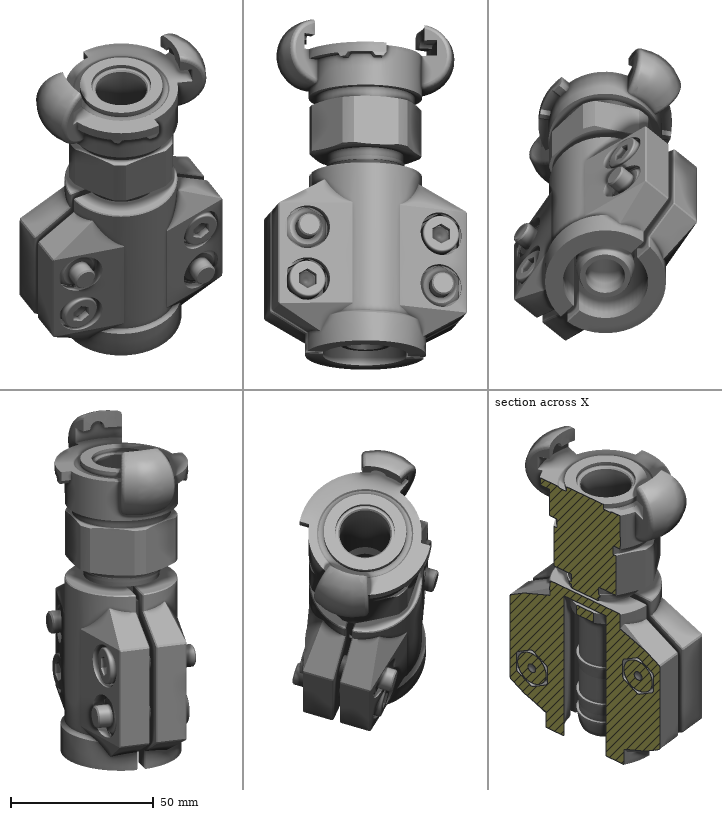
import cadquery as cq
import math

TOTAL_HEIGHT = 119.5

CLAMP_SHIFT_X = -0.18
CLAMP_HEIGHT = 65.0
CLAMP_RADIUS = 19.8
CLAMP_BORE_RADIUS = 30.0 / 2
CLAMP_LIP_BOTTOM = 61.1
CLAMP_TOP_CHAMFER = 0.4
SKIRT_RADIUS = 21.3
SKIRT_HEIGHT = 10.3
SKIRT_CHAMFER_HEIGHT = 1.2
SLOT_WIDTH = 2.4
EDGE_CHAMFER = 0.42

BLOCK_MID_Z = 32.3
BLOCK_HALF_FLAT = 18.2
BLOCK_OUTER_Y = 68.0 / 2
BLOCK_OUTER_X = 12.4
BLOCK_ROOT_X = 18.0
BLOCK_ROOT_Y = 8.6
END_BEVEL_ANGLE = 30.0
SIDE_BEVEL_ANGLE = 60.0
BEVEL_REACH = 35.9

BOLT_Y = 24.0
BOLT_HALF_PITCH = 9.38
BOLT_DIAMETER = 8.0
BOLT_TIP_X = 18.3
BOLT_TIP_CHAMFER = 0.54
SPOTFACE_DIAMETER = 15.4
SPOTFACE_FLOOR_X = 12.4
POCKET_FLOOR_X = 9.0
HEX_FLATS = 13.7
NUT_TOP_X = 12.9
NUT_FACE_DIAMETER = 11.8
HEAD_DIAMETER = 13.0
HEAD_TOP_X = 15.0
HEAD_ROUND = 0.6
SOCKET_FLATS = 6.2
SOCKET_DEPTH = 2.6
SOCKET_TIP_DEPTH = 1.4
CUT_REACH = 23.9

STEM_BOTTOM = 3.7
TAIL_TIP_RADIUS = 8.8
TAIL_RADIUS = 19.0 / 2
BARB_RADIUS = 20.7 / 2
BARB_CRESTS = (10.8, 18.6, 34.7)
BARB_RAMP = 5.3
BARB_LAND = 0.7
STOP_BOTTOM = 55.6
STOP_TOP = 59.9
STOP_RADIUS = 25.0 / 2
COLLAR_BOTTOM = 66.1
COLLAR_RADIUS = 26.8 / 2
BEAD_BOTTOM = 67.8
BEAD_TOP = 69.1
BEAD_RADIUS = 27.5 / 2

HEX_BOTTOM = 72.1
HEX_TOP = 89.5
BIG_HEX_FLATS = 36.3
BIG_HEX_CORNER_RADIUS = 19.8
BIG_HEX_CHAMFER = 0.42
BIG_HEX_FACE_RADIUS = 18.2
NECK_RADIUS = 17.5

HEAD_BOTTOM = 93.1
FACE_Z = 107.8
HEAD_RADIUS = 20.0
SEAL_RADIUS = 29.0 / 2
SEAL_TOP = 109.4
GROOVE_RADIUS = 34.0 / 2
GROOVE_DEPTH = 0.5
MOUTH_RADIUS = 21.0 / 2
MOUTH_DEPTH = 1.4
UPPER_BORE_RADIUS = 18.0 / 2
UPPER_BORE_CHAMFER = 0.5
UPPER_BORE_BOTTOM = 74.1
BORE_CONE_HEIGHT = 1.2
BORE_RADIUS = 14.0 / 2

LUG_RADIUS = 47.0 / 2
LUG_BOTTOM = 104.5
LUG_OVERHANG_Y = 2.5
LUG_ROOT_ANGLE = 109.0
DETENT_DEPTH = 1.4
DETENT_TAPER = 1.1
DETENT_INNER_R = 17.9
END_DETENT_WIDTH = 2 * LUG_OVERHANG_Y
MID_DETENT_ANGLE = 148.0
MID_DETENT_WIDTH = 3.8

CLAW_HALF_ANGLE = 20.0
CLAW_CENTRE_R = 19.66
CLAW_RADIUS = 12.0
CLAW_TIP_R = 20.9
CLAW_ROOT_R = 18.5
CLAW_BACK_AXIS_Y = 13.7
CLAW_CENTRE_Z = TOTAL_HEIGHT - math.sqrt(CLAW_RADIUS**2 - (CLAW_TIP_R - CLAW_CENTRE_R) ** 2)
CLAW_UNDERCUT_R = 25.3
CLAW_UNDERCUT_TOP = 113.4
CLAW_ROUND = 1.5
CLAW_NOTCH_X = -1.7
CLAW_NOTCH_RADIUS = 2.7


def cylinder(radius, bottom, top):
    return cq.Workplane("XY").workplane(offset=bottom).circle(radius).extrude(top - bottom)


def revolve_profile(points):
    """Revolve an (r, z) outline about the Z axis."""
    return cq.Workplane("XZ").polyline(points).close().revolve(360, (0, 0, 0), (0, 1, 0))


def hexagon(flats):
    """Hexagon corner points with a corner on the second axis."""
    radius = flats / math.sqrt(3)
    angles = [math.radians(30 + 60 * i) for i in range(6)]
    return [(radius * math.cos(a), radius * math.sin(a)) for a in angles]


def bolting_block():
    """Block on the +Y side, tapering outward, with bevelled ends."""
    outline = [
        (-BLOCK_ROOT_X, BLOCK_ROOT_Y),
        (-BLOCK_OUTER_X, BLOCK_OUTER_Y),
        (BLOCK_OUTER_X, BLOCK_OUTER_Y),
        (BLOCK_ROOT_X, BLOCK_ROOT_Y),
    ]
    block = cq.Workplane("XY").polyline(outline).close().extrude(BLOCK_MID_Z, both=True)

    def roof(angle, width):
        """Prism profile: straight to the flat height, then sloping inward."""
        rise = width * math.tan(math.radians(angle))
        return [
            (0, BLOCK_HALF_FLAT),
            (-width, BLOCK_HALF_FLAT + rise),
            (-width, -BLOCK_HALF_FLAT - rise),
            (0, -BLOCK_HALF_FLAT),
        ]

    end_plane = cq.Plane((0, BLOCK_OUTER_Y, 0), xDir=(0, 1, 0), normal=(1, 0, 0))
    end_roof = cq.Workplane(end_plane).polyline(roof(END_BEVEL_ANGLE, BEVEL_REACH)).close()
    block = block.intersect(end_roof.extrude(BEVEL_REACH, both=True))

    run_x = BLOCK_ROOT_X - BLOCK_OUTER_X
    run_y = BLOCK_OUTER_Y - BLOCK_ROOT_Y
    for side in (1, -1):
        side_plane = cq.Plane(
            (side * BLOCK_OUTER_X, BLOCK_OUTER_Y, 0),
            xDir=(side * run_y, run_x, 0),
            normal=(-run_x, side * run_y, 0),
        )
        side_roof = cq.Workplane(side_plane).polyline(roof(SIDE_BEVEL_ANGLE, BEVEL_REACH)).close()
        block = block.intersect(side_roof.extrude(2 * BEVEL_REACH, both=True))

    return block.translate((0, 0, BLOCK_MID_Z))


def clamp_shell():
    """The +X clamp shell."""
    skirt_shoulder = SKIRT_HEIGHT + SKIRT_CHAMFER_HEIGHT
    body = revolve_profile([
        (0, 0),
        (SKIRT_RADIUS, 0),
        (SKIRT_RADIUS, SKIRT_HEIGHT),
        (CLAMP_RADIUS, skirt_shoulder),
        (CLAMP_RADIUS, CLAMP_HEIGHT - CLAMP_TOP_CHAMFER),
        (CLAMP_RADIUS - CLAMP_TOP_CHAMFER, CLAMP_HEIGHT),
        (0, CLAMP_HEIGHT),
    ])
    half_space = cq.Workplane("YZ").workplane(offset=SLOT_WIDTH / 2).rect(239.1, 239.1).extrude(119.5)

    body = body.intersect(half_space).faces("<X").edges().chamfer(EDGE_CHAMFER)
    block = bolting_block().intersect(half_space).faces("<X or >Y").edges().chamfer(EDGE_CHAMFER)
    shell = body.union(block).union(block.mirror("XZ"))
    return shell.cut(cylinder(CLAMP_BORE_RADIUS, 0, CLAMP_LIP_BOTTOM))


def along_x(bottom):
    return cq.Workplane("YZ").workplane(offset=bottom)


def bolt_seat():
    """Spotface and hexagon pocket opening toward +X."""
    spotface = along_x(SPOTFACE_FLOOR_X).circle(SPOTFACE_DIAMETER / 2).extrude(CUT_REACH)
    pocket = along_x(POCKET_FLOOR_X).polyline(hexagon(HEX_FLATS)).close().extrude(CUT_REACH)
    pocket = pocket.intersect(along_x(0).circle(SPOTFACE_DIAMETER / 2).extrude(2 * CUT_REACH))
    return spotface.union(pocket)


def bolt():
    """Socket screw along X with its head at -X and a hexagon nut at +X."""
    shank = along_x(-POCKET_FLOOR_X).circle(BOLT_DIAMETER / 2).extrude(BOLT_TIP_X + POCKET_FLOOR_X)
    shank = shank.faces(">X").chamfer(BOLT_TIP_CHAMFER)

    nut = along_x(POCKET_FLOOR_X).polyline(hexagon(HEX_FLATS)).close().extrude(NUT_TOP_X - POCKET_FLOOR_X)
    cone_run = (SPOTFACE_DIAMETER - NUT_FACE_DIAMETER) / 2
    cone_drop = cone_run * math.tan(math.radians(30))
    limit = along_x(POCKET_FLOOR_X).circle(SPOTFACE_DIAMETER / 2).extrude(NUT_TOP_X - POCKET_FLOOR_X)
    nut = nut.intersect(limit.faces(">X").chamfer(cone_drop, cone_run))

    head = along_x(-HEAD_TOP_X).circle(HEAD_DIAMETER / 2).extrude(HEAD_TOP_X - POCKET_FLOOR_X)
    head = head.faces("<X").edges().fillet(HEAD_ROUND)
    socket = along_x(-HEAD_TOP_X).polyline(hexagon(SOCKET_FLATS)).close().extrude(SOCKET_DEPTH)
    tip_plane = cq.Workplane("YZ", origin=(SOCKET_DEPTH - HEAD_TOP_X, 0, 0))
    tip = cq.Workplane(cq.Solid.makeCone(
        SOCKET_FLATS / 2, 0, SOCKET_TIP_DEPTH, tip_plane.plane.origin, cq.Vector(1, 0, 0)
    ))
    return shank.union(nut).union(head.cut(socket).cut(tip))


def clamp():
    shell = clamp_shell()
    shells = shell.union(shell.mirror("YZ"))
    seat = bolt_seat()
    screw = bolt()
    for y_side in (1, -1):
        for z_side in (1, -1):
            centre = (0, y_side * BOLT_Y, BLOCK_MID_Z + z_side * BOLT_HALF_PITCH)
            nut_at_plus_x = y_side * z_side < 0
            turn = 0 if nut_at_plus_x else 180
            for angle in (0, 180):
                shells = shells.cut(seat.rotate((0, 0, 0), (0, 0, 1), angle).translate(centre))
            shells = shells.union(screw.rotate((0, 0, 0), (0, 0, 1), turn).translate(centre))
    return shells.translate((CLAMP_SHIFT_X, 0, 0))


def stem():
    """Hose tail, collar and neck up to the coupling head."""
    outline = [
        (0, STEM_BOTTOM),
        (TAIL_TIP_RADIUS, STEM_BOTTOM),
    ]
    for crest in BARB_CRESTS:
        outline += [
            (TAIL_RADIUS, crest - BARB_RAMP),
            (BARB_RADIUS, crest - BARB_LAND),
            (BARB_RADIUS, crest),
            (TAIL_RADIUS, crest),
        ]
    outline += [
        (TAIL_RADIUS, STOP_BOTTOM),
        (STOP_RADIUS, STOP_BOTTOM),
        (STOP_RADIUS, STOP_TOP),
        (TAIL_RADIUS, STOP_TOP),
        (TAIL_RADIUS, COLLAR_BOTTOM),
        (COLLAR_RADIUS, COLLAR_BOTTOM),
        (COLLAR_RADIUS, BEAD_BOTTOM),
        (BEAD_RADIUS, BEAD_BOTTOM),
        (BEAD_RADIUS, BEAD_TOP),
        (COLLAR_RADIUS, BEAD_TOP),
        (COLLAR_RADIUS, HEX_TOP),
        (NECK_RADIUS, HEX_TOP),
        (NECK_RADIUS, HEAD_BOTTOM),
        (0, HEAD_BOTTOM),
    ]
    return revolve_profile(outline)


def hex_section():
    prism = cq.Workplane("XY").workplane(offset=HEX_BOTTOM)
    prism = prism.polyline(hexagon(BIG_HEX_FLATS)).close().extrude(HEX_TOP - HEX_BOTTOM)
    limit = cylinder(BIG_HEX_CORNER_RADIUS, HEX_BOTTOM, HEX_TOP)
    run = BIG_HEX_CORNER_RADIUS - BIG_HEX_FACE_RADIUS
    return prism.intersect(limit.faces("<Z or >Z").chamfer(BIG_HEX_CHAMFER, run))


def lug():
    """Bayonet lug on the -X side, swept from just below the X axis up to the +Y claw."""
    start_angle = 180 + math.degrees(math.asin(LUG_OVERHANG_Y / LUG_RADIUS))

    def rim(angle):
        return LUG_RADIUS * math.cos(math.radians(angle)), LUG_RADIUS * math.sin(math.radians(angle))

    root = rim(LUG_ROOT_ANGLE)
    plate = cq.Workplane("XY").workplane(offset=LUG_BOTTOM)
    plate = plate.moveTo(0, -LUG_OVERHANG_Y).lineTo(*rim(start_angle))
    plate = plate.threePointArc(rim((start_angle + LUG_ROOT_ANGLE) / 2), root).lineTo(0, 0).close()
    plate = plate.extrude(FACE_Z - LUG_BOTTOM)

    def detent(width, angle):
        """Tapered tooth under the lug, reaching outward at the given angle."""
        half_top = width / 2
        half_tip = half_top - DETENT_TAPER
        tooth = cq.Workplane("XZ", origin=(0, DETENT_INNER_R, 0)).polyline([
            (-half_top, LUG_BOTTOM + DETENT_DEPTH),
            (half_top, LUG_BOTTOM + DETENT_DEPTH),
            (half_top, LUG_BOTTOM),
            (half_tip, LUG_BOTTOM - DETENT_DEPTH),
            (-half_tip, LUG_BOTTOM - DETENT_DEPTH),
            (-half_top, LUG_BOTTOM),
        ]).close().extrude(DETENT_INNER_R - 2 * LUG_RADIUS)
        tooth = tooth.intersect(cylinder(LUG_RADIUS, LUG_BOTTOM - DETENT_DEPTH, FACE_Z))
        return tooth.rotate((0, 0, 0), (0, 0, 1), angle - 90)

    return plate.union(detent(END_DETENT_WIDTH, 180)).union(detent(MID_DETENT_WIDTH, MID_DETENT_ANGLE))


def claw():
    """Hooked claw on the +Y side, with a round back and radial flanks."""
    rim_r = CLAW_CENTRE_R - CLAW_BACK_AXIS_Y
    bottom_z = CLAW_CENTRE_Z - CLAW_RADIUS
    top_z = CLAW_CENTRE_Z + CLAW_RADIUS
    puck = cq.Workplane("XZ").moveTo(0, bottom_z).lineTo(rim_r, bottom_z)
    puck = puck.threePointArc((rim_r + CLAW_RADIUS, CLAW_CENTRE_Z), (rim_r, top_z)).lineTo(0, top_z).close()
    puck = puck.revolve(360, (0, 0, 0), (0, 1, 0)).translate((0, CLAW_BACK_AXIS_Y, 0))

    reach = CLAW_CENTRE_R + 2 * CLAW_RADIUS
    half_width = reach * math.tan(math.radians(CLAW_HALF_ANGLE))
    wedge = cq.Workplane("XY").workplane(offset=bottom_z - CLAW_RADIUS)
    wedge = wedge.polyline([(0, 0), (half_width, reach), (-half_width, reach)]).close()
    sector = puck.intersect(wedge.extrude(4 * CLAW_RADIUS))
    sector = sector.edges("<X or >X").fillet(CLAW_ROUND)

    sector = sector.cut(cylinder(CLAW_ROOT_R, bottom_z, top_z))
    sector = sector.cut(cylinder(CLAW_TIP_R, FACE_Z, top_z))
    undercut = cylinder(CLAW_UNDERCUT_R, FACE_Z, CLAW_UNDERCUT_TOP)
    notch = cq.Workplane("XZ").center(CLAW_NOTCH_X, CLAW_UNDERCUT_TOP)
    notch = notch.circle(CLAW_NOTCH_RADIUS).extrude(-CLAW_UNDERCUT_R)
    notch = notch.intersect(cylinder(CLAW_UNDERCUT_R, FACE_Z, top_z))
    return sector.cut(undercut).cut(notch)


def coupling_head():
    head = cylinder(HEAD_RADIUS, HEAD_BOTTOM, FACE_Z)
    for angle in (0, 180):
        for feature in (claw(), lug()):
            head = head.union(feature.rotate((0, 0, 0), (0, 0, 1), angle))
    groove = revolve_profile([
        (0, FACE_Z),
        (GROOVE_RADIUS, FACE_Z),
        (GROOVE_RADIUS - GROOVE_DEPTH, FACE_Z - GROOVE_DEPTH),
        (0, FACE_Z - GROOVE_DEPTH),
    ])
    return head.cut(groove).union(cylinder(SEAL_RADIUS, HEAD_BOTTOM, SEAL_TOP))


def through_bore():
    """Stepped passage, open at both ends."""
    mouth_floor = SEAL_TOP - MOUTH_DEPTH
    return revolve_profile([
        (0, STEM_BOTTOM),
        (BORE_RADIUS, STEM_BOTTOM),
        (BORE_RADIUS, UPPER_BORE_BOTTOM - BORE_CONE_HEIGHT),
        (UPPER_BORE_RADIUS, UPPER_BORE_BOTTOM),
        (UPPER_BORE_RADIUS, mouth_floor - UPPER_BORE_CHAMFER),
        (UPPER_BORE_RADIUS + UPPER_BORE_CHAMFER, mouth_floor),
        (MOUTH_RADIUS, mouth_floor),
        (MOUTH_RADIUS, SEAL_TOP),
        (0, SEAL_TOP),
    ])


result = stem().union(hex_section()).union(coupling_head()).union(clamp()).cut(through_bore())